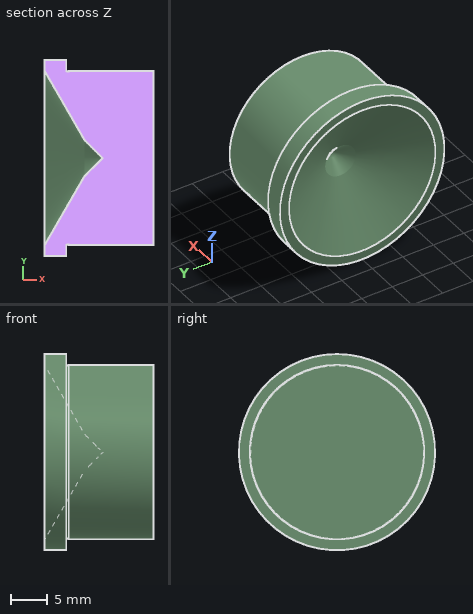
import math

import cadquery as cq

flange_diameter = 27.0
flange_thickness = 3.0
body_diameter = 24.0
total_length = 15.0

undercut_radius = 0.2
undercut_depth = 0.1

funnel_diameter = body_diameter
funnel_slope = 30.0
tip_diameter = 5.0
tip_slope = 45.0


def revolve_about_x(profile):
    """Turn a closed half-profile into a solid around the X axis."""
    return profile.revolve(360, (0, 0, 0), (1, 0, 0))


def make_outside():
    """Flange and body, joined by an undercut arc tangent to the flange's back face."""
    flange_radius = flange_diameter / 2
    body_radius = body_diameter / 2

    arc_center_x = flange_thickness + undercut_radius
    arc_bottom_r = body_radius - undercut_depth
    arc_center_r = arc_bottom_r + undercut_radius
    rise = arc_center_r - body_radius
    half_chord = math.sqrt(undercut_radius**2 - rise**2)

    profile = (
        cq.Workplane("XZ")
        .lineTo(0, flange_radius)
        .lineTo(flange_thickness, flange_radius)
        .lineTo(flange_thickness, arc_center_r)
        .threePointArc((arc_center_x, arc_bottom_r), (arc_center_x + half_chord, body_radius))
        .lineTo(total_length, body_radius)
        .lineTo(total_length, 0)
        .close()
    )
    return revolve_about_x(profile)


def make_funnel():
    """Funnel cavity with its conical tip."""
    funnel_radius = funnel_diameter / 2
    tip_radius = tip_diameter / 2
    funnel_depth = (funnel_radius - tip_radius) * math.tan(math.radians(funnel_slope))
    tip_depth = tip_radius * math.tan(math.radians(tip_slope))

    profile = (
        cq.Workplane("XZ")
        .lineTo(0, funnel_radius)
        .lineTo(funnel_depth, tip_radius)
        .lineTo(funnel_depth + tip_depth, 0)
        .close()
    )
    return revolve_about_x(profile)


result = make_outside().cut(make_funnel())